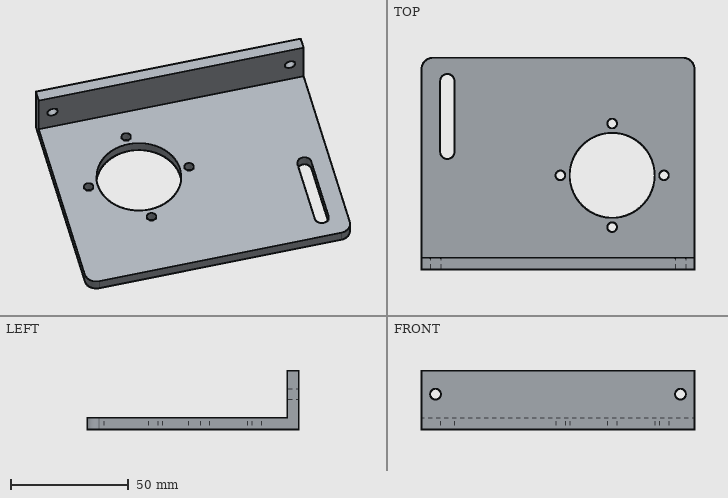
import cadquery as cq

width = 116.0
depth = 90.0
height = 25.0
thickness = 5.0
corner_radius = 5.0

bore_diameter = 36.0
bore_x = 81.0
bore_y = 40.0
screw_hole_diameter = 4.0
screw_circle_radius = 22.0
screw_hole_count = 4

slot_width = 6.0
slot_length = 36.0
slot_x = 11.0
slot_y = 65.0

flange_hole_diameter = 4.5
flange_hole_spacing = 104.0
flange_hole_z = 15.0


def make_bracket():
    """Base plate with a flange along its front edge and rounded rear corners."""
    base = cq.Workplane("XY").box(width, depth, thickness, centered=False)
    base = base.edges("|Z and >Y").fillet(corner_radius)
    flange = cq.Workplane("XY").box(width, thickness, height, centered=False)
    return base.union(flange)


def make_bore_and_screw_hole_cutter():
    """Cylinders for the bore and its ring of screw holes."""
    base_plane = cq.Workplane("XY").center(bore_x, bore_y)
    bore = base_plane.circle(bore_diameter / 2).extrude(thickness)
    screw_holes = (
        base_plane.polarArray(screw_circle_radius, 0, 360, screw_hole_count)
        .circle(screw_hole_diameter / 2)
        .extrude(thickness)
    )
    return bore.union(screw_holes)


def make_slot_cutter():
    """Round-ended slot through the base."""
    return (
        cq.Workplane("XY")
        .center(slot_x, slot_y)
        .slot2D(slot_length, slot_width, 90)
        .extrude(thickness)
    )


def make_flange_hole_cutter():
    """Two holes through the flange, placed symmetrically about its middle."""
    half_spacing = flange_hole_spacing / 2
    return (
        cq.Workplane("XZ")
        .center(width / 2, flange_hole_z)
        .pushPoints([(-half_spacing, 0), (half_spacing, 0)])
        .circle(flange_hole_diameter / 2)
        .extrude(-thickness)
    )


result = (
    make_bracket()
    .cut(make_bore_and_screw_hole_cutter())
    .cut(make_slot_cutter())
    .cut(make_flange_hole_cutter())
)